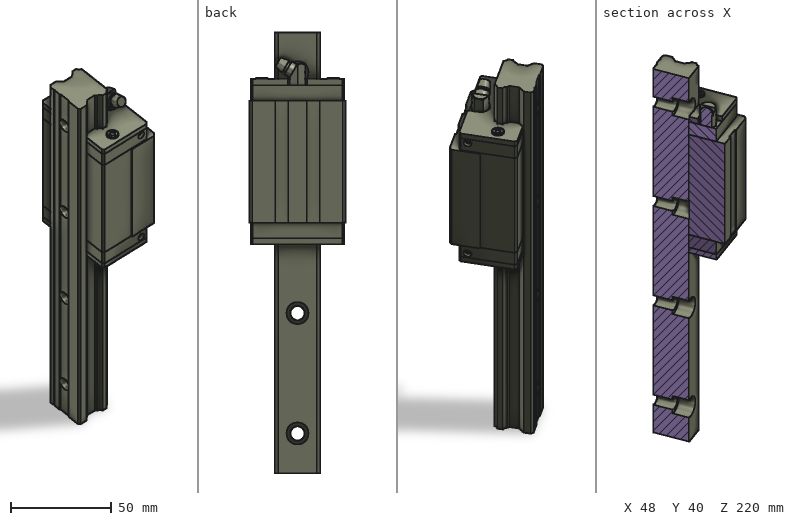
import cadquery as cq
import math


RAIL_LENGTH = 220.0
RAIL_HEIGHT = 20.2
RAIL_HALF_WIDTH = 11.5
RAIL_BASE_CHAMFER = 1.0
RAIL_WAIST_HALF_WIDTH = 8.8
RAIL_FOOT_TOP = 4.8
RAIL_WAIST_BOTTOM = 7.7
RAIL_WAIST_TOP = 12.8
RAIL_HEAD_BOTTOM = 15.6
RACEWAY_WIDTH = 1.8
RACEWAY_HEIGHT = 2.0
RACEWAY_SAG = 0.33
RELIEF_MOUTH_HALF_WIDTH = 3.5
RELIEF_FLOOR_HALF_WIDTH = 2.9
RELIEF_DEPTH = 0.5
MARK_X = -7.5
MARK_HALF_WIDTH = 0.5
MARK_DEPTH = 0.5
BOLT_COUNT = 4
BOLT_PITCH = 60.0
BOLT_HOLE_RADIUS = 3.5
BOLT_HEAD_RADIUS = 5.5
BOLT_HEAD_DEPTH = 9.0

CARRIAGE_MID_Z = 155.5
BLOCK_LENGTH = 61.0
CAP_THICKNESS = 7.7
SEAL_THICKNESS = 3.0
CARRIAGE_BOTTOM = 5.5
CARRIAGE_BOTTOM_CHAMFER = 1.0
CARRIAGE_HALF_WIDTH = 23.3
BLOCK_TOP = 40.0
BLOCK_HALF_WIDTH = 24.0
BLOCK_STEP_Y = 24.2
BLOCK_TOP_CHAMFER = 1.3
TOP_GROOVE_X = 8.0
TOP_GROOVE_WIDTH = 6.5
TOP_GROOVE_DEPTH = 0.7
CAP_TOP = 35.2
CAP_TOP_CHAMFER = 0.9

PORT_RADIUS = 2.0
PORT_DEPTH = 2.2
PORT_Y = 30.8
PORT_FROM_BLOCK = 5.0

SCREW_X = 17.8
SCREW_Y = 16.5
SCREW_RADIUS = 3.0
SCREW_HEIGHT = 0.7
SCREW_CHAMFER = 0.5
SOCKET_DIAMETER = 3.0
SOCKET_DEPTH = 0.7

NIPPLE_Y = 29.7
NIPPLE_HEX_RADIUS = 4.5
NIPPLE_TOP = 204.4
NIPPLE_CROWN_RADIUS = 3.7
NIPPLE_NOTCH_RADIUS = 4.8
SPOUT_RISE = 30.0
SPOUT_CENTER_DROP = 4.2
SPOUT_COLLAR_RADIUS = 3.7
SPOUT_COLLAR_LENGTH = 3.0
SPOUT_NECK_RADIUS = 2.6
SPOUT_NECK_LENGTH = 1.3
SPOUT_HEAD_RADIUS = 3.5
SPOUT_HEAD_LENGTH = 4.5
SPOUT_TIP_RADIUS = 2.6

BLOCK_TOP_Z = CARRIAGE_MID_Z + BLOCK_LENGTH / 2
CAP_TOP_Z = BLOCK_TOP_Z + CAP_THICKNESS
SEAL_TOP_Z = CAP_TOP_Z + SEAL_THICKNESS


def mirrored_outline(right_half):
    """Closed sketch from the points of its +X half, listed from bottom to top."""
    left_half = [(-x, y) for x, y in reversed(right_half)]
    return cq.Workplane("XY").polyline(right_half + left_half).close()


def raceway_mid(start, end):
    """Middle point of the raceway arc from start to end, on the left of its chord."""
    dx = end[0] - start[0]
    dy = end[1] - start[1]
    chord = math.hypot(dx, dy)
    return (
        (start[0] + end[0]) / 2 - dy / chord * RACEWAY_SAG,
        (start[1] + end[1]) / 2 + dx / chord * RACEWAY_SAG,
    )


def rail_blank(length):
    """Rail section without its mounting-face relief, holes or mark."""
    raceway_foot = RAIL_HALF_WIDTH - RACEWAY_WIDTH
    lower_start = (raceway_foot, RAIL_HEAD_BOTTOM - RACEWAY_HEIGHT)
    lower_end = (RAIL_HALF_WIDTH, RAIL_HEAD_BOTTOM)
    upper_start = (RAIL_HALF_WIDTH, RAIL_HEIGHT - RACEWAY_HEIGHT)
    upper_end = (raceway_foot, RAIL_HEIGHT)
    half = (
        cq.Workplane("XY")
        .lineTo(RAIL_HALF_WIDTH - RAIL_BASE_CHAMFER, 0)
        .lineTo(RAIL_HALF_WIDTH, RAIL_BASE_CHAMFER)
        .lineTo(RAIL_HALF_WIDTH, RAIL_FOOT_TOP)
        .lineTo(RAIL_WAIST_HALF_WIDTH, RAIL_WAIST_BOTTOM)
        .lineTo(RAIL_WAIST_HALF_WIDTH, RAIL_WAIST_TOP)
        .lineTo(*lower_start)
        .threePointArc(raceway_mid(lower_start, lower_end), lower_end)
        .lineTo(*upper_start)
        .threePointArc(raceway_mid(upper_start, upper_end), upper_end)
        .lineTo(0, RAIL_HEIGHT)
        .mirrorY()
    )
    return half.extrude(length)


def bolt_hole(z):
    """Through hole from the mounting face with a head counterbore in the rail top."""
    shank = cq.Solid.makeCylinder(BOLT_HOLE_RADIUS, RAIL_HEIGHT, cq.Vector(0, 0, z), cq.Vector(0, 1, 0))
    head = cq.Solid.makeCylinder(
        BOLT_HEAD_RADIUS, BOLT_HEAD_DEPTH, cq.Vector(0, RAIL_HEIGHT, z), cq.Vector(0, -1, 0))
    return shank.fuse(head)


def make_rail():
    relief = mirrored_outline([
        (RELIEF_MOUTH_HALF_WIDTH, 0),
        (RELIEF_FLOOR_HALF_WIDTH, RELIEF_DEPTH),
    ]).extrude(RAIL_LENGTH)
    mark = (
        cq.Workplane("XY")
        .polyline([(MARK_X - MARK_HALF_WIDTH, 0), (MARK_X + MARK_HALF_WIDTH, 0), (MARK_X, MARK_DEPTH)])
        .close()
        .extrude(RAIL_LENGTH)
    )
    rail = rail_blank(RAIL_LENGTH).cut(relief).cut(mark)
    first_bolt_z = (RAIL_LENGTH - (BOLT_COUNT - 1) * BOLT_PITCH) / 2
    for i in range(BOLT_COUNT):
        rail = rail.cut(cq.Workplane(bolt_hole(first_bolt_z + i * BOLT_PITCH)))
    return rail


def carriage_slice(right_half, length):
    """Slice of the carriage, centred on Z = 0, with the rail channel cut out."""
    lower_corner = [
        (CARRIAGE_HALF_WIDTH - CARRIAGE_BOTTOM_CHAMFER, CARRIAGE_BOTTOM),
        (CARRIAGE_HALF_WIDTH, CARRIAGE_BOTTOM + CARRIAGE_BOTTOM_CHAMFER),
    ]
    body = mirrored_outline(lower_corner + right_half).extrude(length)
    return body.cut(rail_blank(length)).translate((0, 0, -length / 2))


def make_block():
    block = carriage_slice([
        (CARRIAGE_HALF_WIDTH, BLOCK_STEP_Y),
        (BLOCK_HALF_WIDTH, BLOCK_STEP_Y),
        (BLOCK_HALF_WIDTH, BLOCK_TOP - BLOCK_TOP_CHAMFER),
        (BLOCK_HALF_WIDTH - BLOCK_TOP_CHAMFER, BLOCK_TOP),
    ], BLOCK_LENGTH)
    for side in (-1, 1):
        groove = cq.Workplane("XY").box(TOP_GROOVE_WIDTH, 2 * TOP_GROOVE_DEPTH, BLOCK_LENGTH)
        block = block.cut(groove.translate((side * TOP_GROOVE_X, BLOCK_TOP, 0)))
    return block.translate((0, 0, CARRIAGE_MID_Z))


def end_slice(thickness):
    """Slice with the lower, narrower outline shared by the caps and the seals."""
    return carriage_slice([
        (CARRIAGE_HALF_WIDTH, CAP_TOP - CAP_TOP_CHAMFER),
        (CARRIAGE_HALF_WIDTH - CAP_TOP_CHAMFER, CAP_TOP),
    ], thickness)


def make_cap(end):
    """End cap on the upper (end = 1) or lower (end = -1) face of the block."""
    offset = BLOCK_LENGTH / 2 + CAP_THICKNESS / 2
    port_z = CARRIAGE_MID_Z + end * (BLOCK_LENGTH / 2 + PORT_FROM_BLOCK)
    cap = end_slice(CAP_THICKNESS).translate((0, 0, CARRIAGE_MID_Z + end * offset))
    for side in (-1, 1):
        port = cq.Solid.makeCylinder(
            PORT_RADIUS, PORT_DEPTH,
            cq.Vector(side * CARRIAGE_HALF_WIDTH, PORT_Y, port_z), cq.Vector(-side, 0, 0))
        cap = cap.cut(cq.Workplane(port))
    return cap


def make_seal(end):
    """Plain end seal on the outer face of a cap."""
    offset = BLOCK_LENGTH / 2 + CAP_THICKNESS + SEAL_THICKNESS / 2
    return end_slice(SEAL_THICKNESS).translate((0, 0, CARRIAGE_MID_Z + end * offset))


def make_upper_seal():
    """Upper seal with the nipple notch and two socket screw heads."""
    notch = (
        cq.Workplane("XY", origin=(0, NIPPLE_Y, CAP_TOP_Z))
        .moveTo(-NIPPLE_NOTCH_RADIUS, CAP_TOP - NIPPLE_Y)
        .lineTo(-NIPPLE_NOTCH_RADIUS, 0)
        .threePointArc((0, -NIPPLE_NOTCH_RADIUS), (NIPPLE_NOTCH_RADIUS, 0))
        .lineTo(NIPPLE_NOTCH_RADIUS, CAP_TOP - NIPPLE_Y)
        .close()
        .extrude(SEAL_THICKNESS)
    )
    screw_head = (
        cq.Workplane("XY")
        .circle(SCREW_RADIUS)
        .extrude(SCREW_HEIGHT)
        .faces(">Z")
        .chamfer(SCREW_CHAMFER)
        .faces(">Z")
        .workplane()
        .polygon(6, SOCKET_DIAMETER)
        .cutBlind(-SOCKET_DEPTH)
    )
    seal = make_seal(1).cut(notch)
    for side in (-1, 1):
        seal = seal.union(screw_head.translate((side * SCREW_X, SCREW_Y, SEAL_TOP_Z)))
    return seal


def make_stem():
    """Hexagonal stem of the nipple, with corners at +Y and -Y and a conical crown."""
    height = NIPPLE_TOP - CAP_TOP_Z
    foot = cq.Vector(0, NIPPLE_Y, CAP_TOP_Z)
    hexagon = (
        cq.Workplane("XY")
        .polygon(6, 2 * NIPPLE_HEX_RADIUS)
        .extrude(height)
        .rotate((0, 0, 0), (0, 0, 1), 90)
        .translate(foot)
    )
    crown = cq.Workplane(cq.Solid.makeCone(NIPPLE_CROWN_RADIUS + height, NIPPLE_CROWN_RADIUS, height, foot))
    return hexagon.intersect(crown)


def make_nipple():
    """Elbow nipple: the stem is mitred at the top and carries a spout square to the mitre."""
    stem_height = NIPPLE_TOP - CAP_TOP_Z
    rise = math.radians(SPOUT_RISE)
    axis = cq.Vector(math.cos(rise), 0, math.sin(rise))
    down_mitre = cq.Vector(math.sin(rise), 0, -math.cos(rise))
    mitre_edge = cq.Vector(0, NIPPLE_Y, NIPPLE_TOP)
    waste = (
        cq.Workplane(cq.Plane(origin=mitre_edge, xDir=(0, 1, 0), normal=axis))
        .rect(2 * stem_height, 2 * stem_height)
        .extrude(stem_height)
    )

    collar_start = mitre_edge + down_mitre * SPOUT_CENTER_DROP
    neck_start = collar_start + axis * SPOUT_COLLAR_LENGTH
    head_start = neck_start + axis * SPOUT_NECK_LENGTH
    collar = cq.Solid.makeCylinder(SPOUT_COLLAR_RADIUS, SPOUT_COLLAR_LENGTH, collar_start, axis)
    neck = cq.Solid.makeCylinder(SPOUT_NECK_RADIUS, SPOUT_NECK_LENGTH, neck_start, axis)
    head = cq.Solid.makeCone(SPOUT_HEAD_RADIUS, SPOUT_TIP_RADIUS, SPOUT_HEAD_LENGTH, head_start, axis)

    nipple = make_stem().cut(waste)
    for section in (collar, neck, head):
        nipple = nipple.union(cq.Workplane(section))
    return nipple


rail = make_rail()
block = make_block()
caps = [make_cap(end) for end in (-1, 1)]
lower_seal = make_seal(-1)
upper_seal = make_upper_seal()
nipple = make_nipple()

result = cq.Compound.makeCompound([
    rail.val(),
    block.val(),
    *[cap.val() for cap in caps],
    lower_seal.val(),
    upper_seal.val(),
    nipple.val(),
])